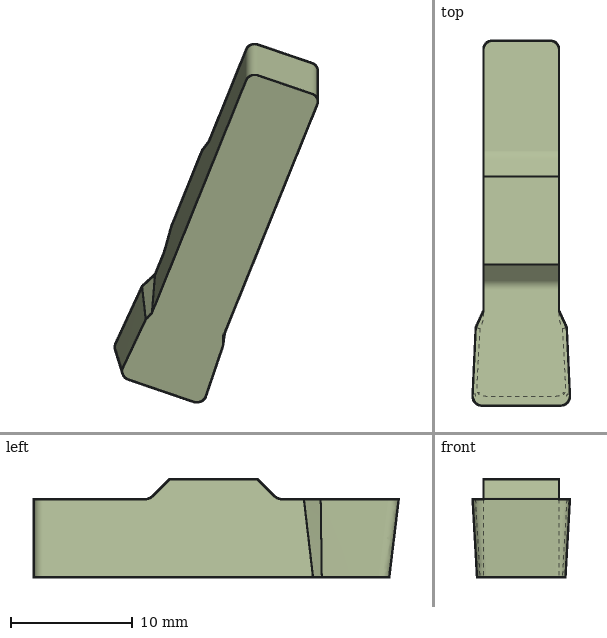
import cadquery as cq

length = 30.0
total_height = 8.07
deck_height = 6.42
shank_width = 6.25

block_front = 11.6
block_back = 18.85
ramp_run = total_height - deck_height
ramp_foot_radius = 1.0

head_front_half_width = 4.05
head_back_half_width = 3.75
head_back = 6.42
shoulder_end = 7.8
front_relief = 0.78
side_relief = 0.35
head_back_shift = 0.1
shoulder_relief = 0.75
head_corner_radius = 0.8
shank_corner_radius = 0.75

half_shank = shank_width / 2
shank_start = (head_back + front_relief) / 2


def make_shank():
    """Straight bar with the raised block, rounded ramp feet and rounded rear corners."""
    profile = [
        (shank_start, 0),
        (length, 0),
        (length, deck_height),
        (block_back + ramp_run, deck_height),
        (block_back, total_height),
        (block_front, total_height),
        (block_front - ramp_run, deck_height),
        (shank_start, deck_height),
    ]
    bar = cq.Workplane("YZ").polyline(profile).close().extrude(half_shank, both=True)
    for foot in (block_front - ramp_run, block_back + ramp_run):
        selector = cq.selectors.NearestToPointSelector((0, foot, deck_height))
        bar = bar.edges(selector).fillet(ramp_foot_radius)
    return bar.faces(">Y").edges("|Z").fillet(shank_corner_radius)


def head_outline(front, front_half, back, back_half, shoulder):
    """Symmetric plan outline, from the front edge to where the shoulders meet the shank."""
    right_side = [(front_half, front), (back_half, back), (half_shank, shoulder)]
    left_side = [(-x, y) for x, y in reversed(right_side)]
    return right_side + left_side


def make_head():
    """Flared head whose walls lean inward toward the base for clearance."""
    base = head_outline(
        front_relief,
        head_front_half_width - side_relief,
        head_back - head_back_shift,
        head_back_half_width - side_relief,
        shoulder_end - shoulder_relief,
    )
    top = head_outline(
        0,
        head_front_half_width,
        head_back,
        head_back_half_width,
        shoulder_end,
    )
    head = (
        cq.Workplane("XY")
        .polyline(base)
        .close()
        .workplane(offset=deck_height)
        .polyline(top)
        .close()
        .loft(ruled=True, combine=True)
    )
    for side in (-1, 1):
        corner = (
            side * (head_front_half_width - side_relief / 2),
            front_relief / 2,
            deck_height / 2,
        )
        selector = cq.selectors.NearestToPointSelector(corner)
        head = head.edges(selector).fillet(head_corner_radius)
    return head


result = make_shank().union(make_head())